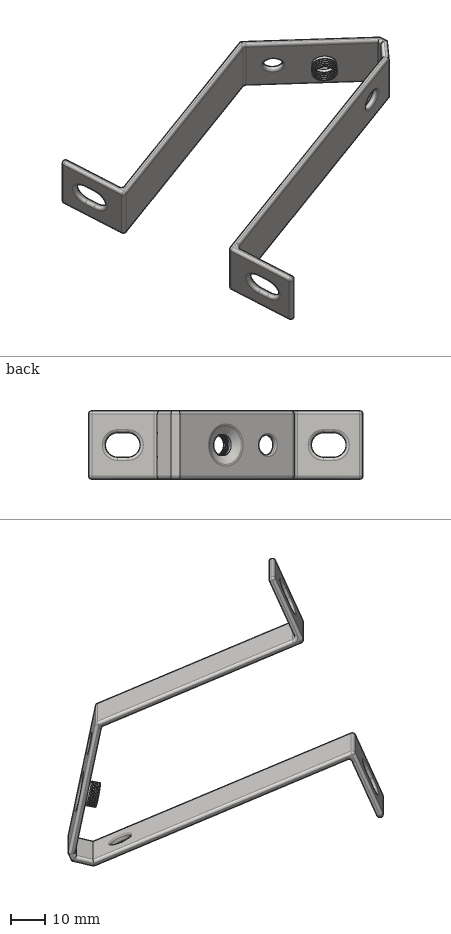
import cadquery as cq
import math

width = 20.0
thickness = 2.0
edge_radius = 0.49 * thickness

overall_length = 80.0
overall_height = 89
foot_length = 20.0
left_shoulder_height = 65.6
right_shoulder_height = 83.75
ridge_start = 53.4
ridge_end = 56.0
bend_radius = 1.0

slot_length = 10.1
slot_width = 7.0
slot_inset = 10.0

ramp_hole_diameter = 5.9
leg_hole_diameter = 6.5
hole_rim_radius = 0.45
leg_hole_height = 74.5
ramp_hole_distance = 9.4

collar_distance = 24.4
countersink_diameter = 11.75
countersink_depth = 1.7
countersink_rim_radius = 1.0
collar_length = 3.65
collar_plain_length = 0.9
collar_radius = 3.6
collar_bore_radius = 3.1
thread_depth = 0.2
thread_count = 4

thread_start = thickness + collar_plain_length
collar_end = thickness + collar_length

right_leg_x = overall_length - foot_length
outer_points = [
    (foot_length, 0),
    (foot_length, left_shoulder_height),
    (ridge_start, overall_height),
    (ridge_end, overall_height),
    (right_leg_x, right_shoulder_height),
    (right_leg_x, 0),
]
ramp_angle = math.atan2(overall_height - left_shoulder_height, ridge_start - foot_length)


def inward_offset(before, corner, after):
    """Mitre point one sheet thickness to the right of a bend in the outer line."""
    angle_in = math.atan2(corner[1] - before[1], corner[0] - before[0])
    angle_out = math.atan2(after[1] - corner[1], after[0] - corner[0])
    middle = (angle_in + angle_out) / 2
    reach = thickness / math.cos((angle_out - angle_in) / 2)
    return (corner[0] + reach * math.sin(middle), corner[1] - reach * math.cos(middle))


def bent_strip():
    inner_points = [
        inward_offset(*outer_points[i - 1:i + 2])
        for i in range(1, len(outer_points) - 1)
    ]
    outline = [(0, 0), (0, thickness), (foot_length, thickness)]
    outline += outer_points[1:-1]
    outline += [(right_leg_x, thickness), (overall_length, thickness), (overall_length, 0)]
    outline += [(right_leg_x - thickness, 0)]
    outline += reversed(inner_points)
    outline += [(foot_length + thickness, 0)]
    strip = cq.Workplane("XY").polyline(outline).close().extrude(width)

    rounded_corners = [
        (foot_length, thickness),
        (foot_length + thickness, 0),
        (right_leg_x, thickness),
        (right_leg_x - thickness, 0),
        outer_points[1],
        inner_points[0],
    ]
    for x, y in rounded_corners:
        bend_edge = cq.selectors.NearestToPointSelector((x, y, width / 2))
        strip = strip.edges(bend_edge).fillet(bend_radius)

    return strip.edges("#Z or (|Z and (<X or >X))").fillet(edge_radius)


def sheet_plane(x, y, direction):
    """Plane at mid width whose local X runs across the strip and local Y along the direction."""
    across = cq.Vector(0, 0, 1)
    depth = cq.Vector(*direction)
    return cq.Plane(origin=(x, y, width / 2), xDir=across, normal=across.cross(depth))


def ramp_plane(distance):
    """Plane on the outer face of the ramp, its local Y pointing into the sheet."""
    x = foot_length + distance * math.cos(ramp_angle)
    y = left_shoulder_height + distance * math.sin(ramp_angle)
    return sheet_plane(x, y, (math.sin(ramp_angle), -math.cos(ramp_angle), 0))


def turned(half_section):
    """Revolve a half section about the local Y axis of its plane."""
    return half_section.close().revolve(360, (0, 0), (0, 1))


def round_hole(plane, diameter):
    """Cutter for a hole through the sheet with its rim rounded at both faces."""
    radius = diameter / 2
    flared = radius + hole_rim_radius
    bulge = hole_rim_radius * (1 - math.sqrt(0.5))
    return turned(
        cq.Workplane(plane)
        .lineTo(flared, 0)
        .threePointArc((radius + bulge, bulge), (radius, hole_rim_radius))
        .lineTo(radius, thickness - hole_rim_radius)
        .threePointArc((radius + bulge, thickness - bulge), (flared, thickness))
        .lineTo(0, thickness)
    )


def threaded_wall(section, radius, ridge_height):
    """Continue a half section along the ridged wall, up to the free end of the collar."""
    pitch = (collar_end - thread_start) / thread_count
    for turn in range(thread_count):
        start = thread_start + turn * pitch
        section = section.lineTo(radius + ridge_height, start + pitch / 2)
        section = section.lineTo(radius, start + pitch)
    return section


def collar(plane):
    """Solid collar under the ramp, rooted inside the sheet, with ridges round its free end."""
    root = thickness / 2
    section = (
        cq.Workplane(plane)
        .moveTo(0, root)
        .lineTo(collar_radius, root)
        .lineTo(collar_radius, thread_start)
    )
    section = threaded_wall(section, collar_radius, thread_depth)
    return turned(section.lineTo(0, collar_end))


def collar_bore(plane):
    """Cutter for the countersink and the ridged bore through ramp and collar."""
    section = (
        cq.Workplane(plane)
        .lineTo(countersink_diameter / 2, 0)
        .lineTo(collar_bore_radius, countersink_depth)
        .lineTo(collar_bore_radius, thread_start)
    )
    section = threaded_wall(section, collar_bore_radius, -thread_depth)
    return turned(section.lineTo(0, collar_end))


def foot_slot_cutter(center_x):
    """Cutter for a slot through a foot, waisted so that the slot wall comes out rounded."""
    foot_front = cq.Workplane("XZ", origin=(center_x, 0, width / 2))
    slot = foot_front.slot2D(slot_length, slot_width).extrude(-thickness)
    blank = foot_front.slot2D(slot_length + slot_width, 2 * slot_width).extrude(-thickness)
    reach_x = slot_length / 2 + edge_radius
    reach_z = slot_width / 2 + edge_radius
    slot_rims = cq.selectors.BoxSelector(
        (center_x - reach_x, -thickness, width / 2 - reach_z),
        (center_x + reach_x, 2 * thickness, width / 2 + reach_z),
    )
    rounded_plate = blank.cut(slot).edges(slot_rims).edges("#Y").fillet(edge_radius)
    return blank.cut(rounded_plate)


result = bent_strip()

for slot_x in (slot_inset, overall_length - slot_inset):
    result = result.cut(foot_slot_cutter(slot_x))

ramp_hole_plane = ramp_plane(ramp_hole_distance)
leg_hole_plane = sheet_plane(right_leg_x, leg_hole_height, (-1, 0, 0))
result = result.cut(round_hole(ramp_hole_plane, ramp_hole_diameter))
result = result.cut(round_hole(leg_hole_plane, leg_hole_diameter))

collar_plane = ramp_plane(collar_distance)
result = result.union(collar(collar_plane)).cut(collar_bore(collar_plane))
countersink_rim = cq.selectors.NearestToPointSelector(collar_plane.origin.toTuple())
result = result.edges("%CIRCLE").edges(countersink_rim).fillet(countersink_rim_radius)